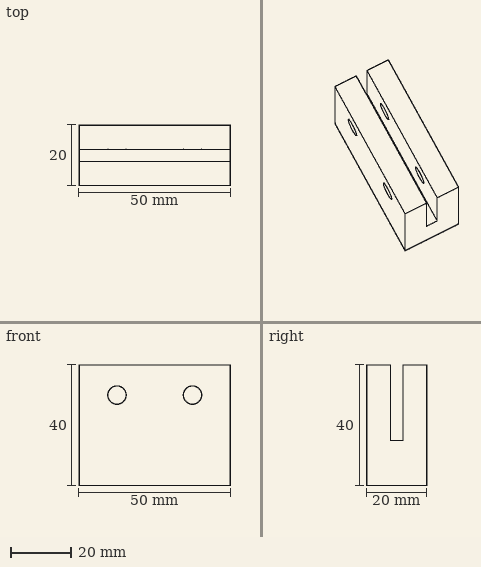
import cadquery as cq

length = 50
width = 20
height = 40

slot_width = 4
slot_depth = 25

hole_diameter = 6
hole_spacing = length / 2
hole_drop = 10


def make_block():
    return cq.Workplane("XY").box(length, width, height, centered=(True, True, False))


def cut_slot(body):
    return body.faces(">Z").workplane().rect(length, slot_width).cutBlind(-slot_depth)


def cut_cross_holes(body):
    hole_height = height - hole_drop
    holes = (
        cq.Workplane("XZ")
        .pushPoints([(-hole_spacing / 2, hole_height), (hole_spacing / 2, hole_height)])
        .circle(hole_diameter / 2)
        .extrude(width / 2, both=True)
    )
    return body.cut(holes)


result = cut_cross_holes(cut_slot(make_block()))